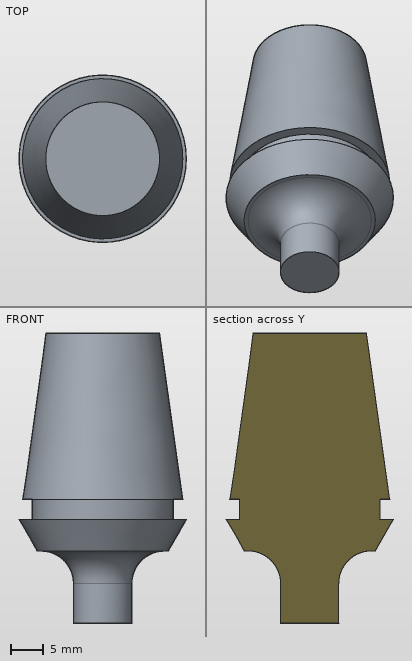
import cadquery as cq

total_height = 45.2
stem_top = 6.25
collar_bottom = 11.25
collar_top = 16.2
head_bottom = 19.3

stem_diameter = 9.15
collar_bottom_diameter = 20.45
collar_top_diameter = 26.1
neck_diameter = 22.0
head_bottom_diameter = 24.95
head_top_diameter = 17.7

flare_radius = collar_bottom - stem_top
stem_radius = stem_diameter / 2
flare_center_x = stem_radius + flare_radius
flare_offset = flare_radius * 0.5 ** 0.5
flare_midpoint = (flare_center_x - flare_offset, stem_top + flare_offset)

profile = (
    cq.Workplane("XZ")
    .lineTo(stem_radius, 0)
    .lineTo(stem_radius, stem_top)
    .threePointArc(flare_midpoint, (flare_center_x, collar_bottom))
    .lineTo(collar_bottom_diameter / 2, collar_bottom)
    .lineTo(collar_top_diameter / 2, collar_top)
    .lineTo(neck_diameter / 2, collar_top)
    .lineTo(neck_diameter / 2, head_bottom)
    .lineTo(head_bottom_diameter / 2, head_bottom)
    .lineTo(head_top_diameter / 2, total_height)
    .lineTo(0, total_height)
    .close()
)
result = profile.revolve(360, (0, 0, 0), (0, 1, 0))